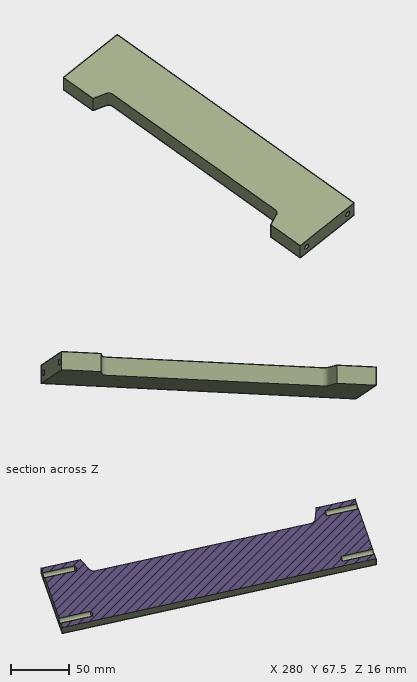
import cadquery as cq
import math

length = 280.0
width = 67.5
thickness = 16.0

foot_length = 35.0
recess_depth = 15.0
slope_angle = 70.0
corner_radius = 5.0

hole_diameter = 5.0
hole_edge_distance = 8.0
hole_depth = 28.0
drill_point_angle = 118.0


def make_plate():
    return cq.Workplane("XY").box(length, width, thickness, centered=(True, False, False))


def make_recess():
    mouth_half = length / 2 - foot_length
    floor_half = mouth_half - recess_depth / math.tan(math.radians(slope_angle))
    outline = [
        (-mouth_half, 0),
        (mouth_half, 0),
        (floor_half, recess_depth),
        (-floor_half, recess_depth),
    ]
    recess = cq.Workplane("XY").polyline(outline).close().extrude(thickness)
    floor_corners = cq.selectors.BoxSelector(
        (-mouth_half, recess_depth / 2, 0),
        (mouth_half, recess_depth * 2, thickness),
    )
    return recess.edges("|Z").edges(floor_corners).fillet(corner_radius)


def make_drilled_hole():
    radius = hole_diameter / 2
    point_length = radius / math.tan(math.radians(drill_point_angle / 2))
    half_section = [
        (0, 0),
        (0, radius),
        (hole_depth, radius),
        (hole_depth + point_length, 0),
    ]
    return cq.Workplane("XY").polyline(half_section).close().revolve(360, (0, 0), (1, 0))


def cut_end_holes(body):
    left_hole = make_drilled_hole().translate((-length / 2, 0, thickness / 2))
    right_hole = left_hole.mirror("YZ")
    for y in (hole_edge_distance, width - hole_edge_distance):
        for hole in (left_hole, right_hole):
            body = body.cut(hole.translate((0, y, 0)))
    return body


result = cut_end_holes(make_plate().cut(make_recess()))